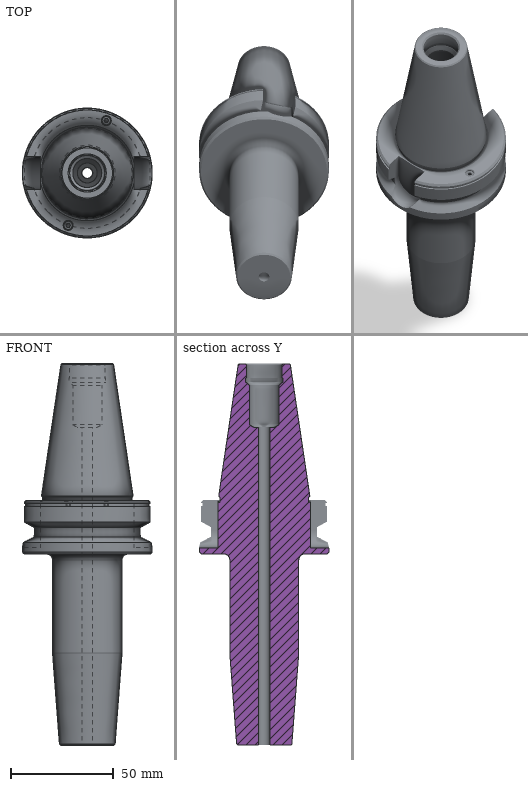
import cadquery as cq
import math

total_length = 185.4
shank_length = 65.5
shank_top_radius = 12.8
gauge_radius = 22.2
shank_top_chamfer = 0.5
nose_z = shank_length - total_length

flange_radius = 31.5
flange_top_z = -1.0
flange_bottom_z = -27.0
flange_chamfer = 1.0
v_groove_center_z = -16.5
v_groove_width = 10.0
v_groove_floor_radius = 26.9
v_groove_slope_angle = 30.0
v_groove_slope_height = (flange_radius - v_groove_floor_radius) * math.tan(math.radians(v_groove_slope_angle))
rim_groove_top_z = flange_top_z - 1.5
rim_groove_width = 1.5
rim_groove_depth = 0.5

relief_top_z = 1.1
relief_radius = 21.7
relief_outer_radius = 23.2
relief_depth = 1.0

neck_radius = 16.9
neck_fillet = 2.8
nose_taper_top_z = -75.0
nose_radius = 13.5
nose_chamfer = 0.7

slot_width = 16.1
slot_floor_x = 22.6
slot_bottom_z = flange_top_z - 23.0

mouth_radius = 9.3
mouth_chamfer = 0.7
undercut_radius = 8.9
undercut_top_depth = 7.0
undercut_bottom_depth = 9.0
thread_radius = 7.0
thread_depth = 29.7
drill_point_radius = 4.8
drill_point_angle = 118.0
through_radius = 2.6

screw_circle_radius = 27.0
screw_angle = 70.0
screw_hole_radius = 2.0
screw_hole_chamfer = 0.4
screw_recess = 1.0
socket_sides = 6
socket_width = 1.9
socket_depth = 1.9


def make_body():
    """Revolve the outer outline, from the top of the shank down to the nose."""
    v_top = v_groove_center_z + v_groove_width / 2
    v_bottom = v_groove_center_z - v_groove_width / 2
    rim_groove_bottom_z = rim_groove_top_z - rim_groove_width
    fillet_mid = neck_fillet * (1 - math.sqrt(0.5))
    return (
        cq.Workplane("XZ")
        .moveTo(0, shank_length)
        .lineTo(shank_top_radius - shank_top_chamfer, shank_length)
        .lineTo(shank_top_radius, shank_length - shank_top_chamfer)
        .lineTo(gauge_radius, relief_top_z)
        .lineTo(relief_radius, relief_top_z - (gauge_radius - relief_radius))
        .lineTo(relief_radius, flange_top_z - relief_depth)
        .lineTo(relief_outer_radius, flange_top_z)
        .lineTo(flange_radius - flange_chamfer, flange_top_z)
        .lineTo(flange_radius, flange_top_z - flange_chamfer)
        .lineTo(flange_radius, rim_groove_top_z)
        .lineTo(flange_radius - rim_groove_depth, rim_groove_top_z)
        .lineTo(flange_radius - rim_groove_depth, rim_groove_bottom_z)
        .lineTo(flange_radius, rim_groove_bottom_z)
        .lineTo(flange_radius, v_top)
        .lineTo(v_groove_floor_radius, v_top - v_groove_slope_height)
        .lineTo(v_groove_floor_radius, v_bottom + v_groove_slope_height)
        .lineTo(flange_radius, v_bottom)
        .lineTo(flange_radius, flange_bottom_z + flange_chamfer)
        .lineTo(flange_radius - flange_chamfer, flange_bottom_z)
        .lineTo(neck_radius + neck_fillet, flange_bottom_z)
        .threePointArc(
            (neck_radius + fillet_mid, flange_bottom_z - fillet_mid),
            (neck_radius, flange_bottom_z - neck_fillet),
        )
        .lineTo(neck_radius, nose_taper_top_z)
        .lineTo(nose_radius, nose_z + nose_chamfer)
        .lineTo(nose_radius - nose_chamfer, nose_z)
        .lineTo(0, nose_z)
        .close()
        .revolve(360, (0, 0), (0, 1))
    )


def make_bore():
    """Revolve the stepped bore that runs along the whole axis."""
    counterbore_radius = mouth_radius - mouth_chamfer
    undercut_top_z = shank_length - undercut_top_depth
    undercut_bottom_z = shank_length - undercut_bottom_depth
    lead_in_bottom_z = undercut_bottom_z - (counterbore_radius - thread_radius)
    thread_bottom_z = shank_length - thread_depth
    drill_point_height = (thread_radius - drill_point_radius) / math.tan(math.radians(drill_point_angle / 2))
    drill_point_z = thread_bottom_z - drill_point_height
    return (
        cq.Workplane("XZ")
        .moveTo(0, shank_length)
        .lineTo(mouth_radius, shank_length)
        .lineTo(counterbore_radius, shank_length - mouth_chamfer)
        .lineTo(counterbore_radius, undercut_top_z)
        .lineTo(undercut_radius, undercut_top_z)
        .lineTo(undercut_radius, undercut_bottom_z)
        .lineTo(counterbore_radius, undercut_bottom_z)
        .lineTo(thread_radius, lead_in_bottom_z)
        .lineTo(thread_radius, thread_bottom_z)
        .lineTo(drill_point_radius, drill_point_z)
        .lineTo(through_radius, drill_point_z)
        .lineTo(through_radius, nose_z)
        .lineTo(0, nose_z)
        .close()
        .revolve(360, (0, 0), (0, 1))
    )


def make_drive_slot(side):
    """Round-bottomed slot on the +X (side = 1) or -X (side = -1) side."""
    slot_radius = slot_width / 2
    arc_center_z = slot_bottom_z + slot_radius
    return (
        cq.Workplane("YZ", origin=(side * slot_floor_x, 0, 0))
        .moveTo(-slot_radius, flange_top_z)
        .lineTo(-slot_radius, arc_center_z)
        .threePointArc((0, slot_bottom_z), (slot_radius, arc_center_z))
        .lineTo(slot_radius, flange_top_z)
        .close()
        .extrude(side * flange_radius)
    )


def make_screw_hole(angle):
    """Recess above a coolant screw, with the screw's hexagon socket below it."""
    center_x = screw_circle_radius * math.cos(math.radians(angle))
    center_y = screw_circle_radius * math.sin(math.radians(angle))
    face = cq.Workplane("XY", origin=(center_x, center_y, flange_top_z))
    recess = face.circle(screw_hole_radius).extrude(-screw_recess)
    mouth = (
        face.circle(screw_hole_radius + screw_hole_chamfer)
        .workplane(offset=-screw_hole_chamfer)
        .circle(screw_hole_radius)
        .loft()
    )
    socket_diameter = socket_width / math.cos(math.pi / socket_sides)
    socket = face.polygon(socket_sides, socket_diameter).extrude(-screw_recess - socket_depth)
    return recess.union(mouth).union(socket)


result = make_body().cut(make_bore())
for side in (-1, 1):
    result = result.cut(make_drive_slot(side))
for angle in (screw_angle, screw_angle + 180):
    result = result.cut(make_screw_hole(angle))